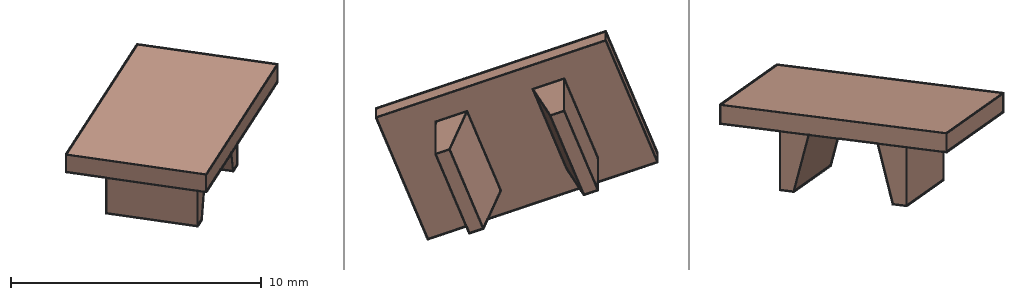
import cadquery as cq

plate_width = 5.85
plate_length = 9.8
plate_thickness = 0.79

total_height = 3.6
leg_height = total_height - plate_thickness
leg_width = 3.81
leg_outer_span = 5.49
leg_root_thickness = 1.34
leg_tip_thickness = 0.6


def make_plate():
    """Plate standing on the plane Z = 0."""
    return cq.Workplane("XY").box(
        plate_width, plate_length, plate_thickness, centered=(True, True, False)
    )


def make_leg(side):
    """Leg hanging from the plate on the +Y (side = 1) or -Y (side = -1) half."""
    outer = leg_outer_span / 2
    root_inner = outer - leg_root_thickness
    tip_inner = outer - leg_tip_thickness
    profile = [
        (side * outer, 0),
        (side * root_inner, 0),
        (side * tip_inner, -leg_height),
        (side * outer, -leg_height),
    ]
    return cq.Workplane("YZ").polyline(profile).close().extrude(leg_width / 2, both=True)


result = make_plate()
for side in (-1, 1):
    result = result.union(make_leg(side))